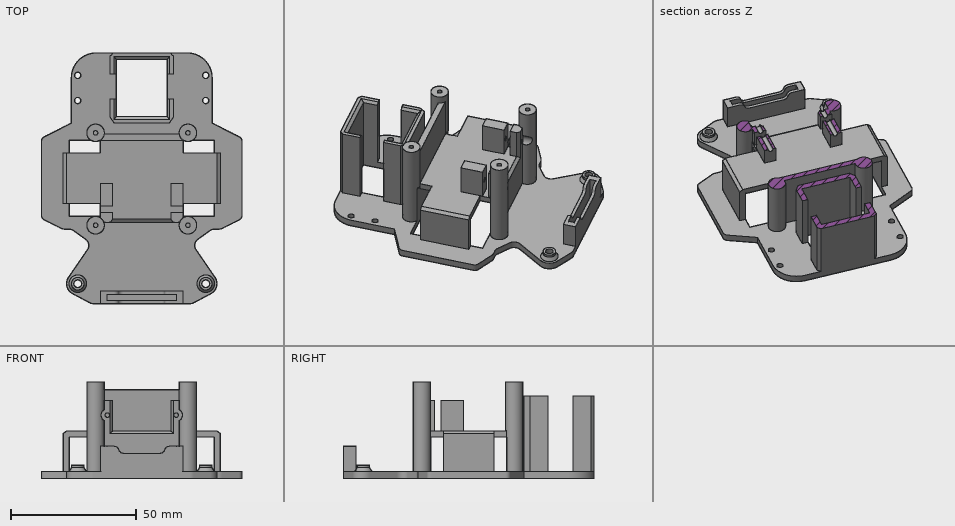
import cadquery as cq
import math

BASE_T = 2.9
HALF_X = 40.0
HALF_Y = 50.0
TAIL_HALF_X = 28.1
TAIL_RADIUS = 10.0
SHOULDER_Y = 22.0
SIDE_CORNER_Y = 16.0
SIDE_RADIUS = 2.0
LEDGE_Y = -20.3
LEDGE_OUTER_X = 31.4
LEDGE_INNER_X = 28.0
WAIST = (20.0, -26.0)
NOSE_HALF_X = 20.0
OUTLINE_RADIUS = 3.0
EAR = (25.5, -42.0)
EAR_RADIUS = 4.5

TAIL_HOLE_D = 2.4
TAIL_HOLE_X = 25.5
TAIL_HOLE_YS = (31.0, 41.0)

BOSS_HOLE_D = 3.0
BOSS_FOOT_D = 7.0
BOSS_TOP_D = 5.0
BOSS_CONE_H = 1.5
BOSS_H = 2.5

POST_D = 7.0
POST_TOP = 38.5
POST_X = 18.4
POST_YS = (18.1, -18.7)
SCREW_D = 1.8
POST_HOLE_DEPTH = 10.0

WALL_T = 2.5
OPENING_HALF_X = 28.8
OPENING_HALF_Y = 15.1
DECK_TOP = 19.0
DECK_HALF_X = OPENING_HALF_X + WALL_T
DECK_HALF_Y = OPENING_HALF_Y + WALL_T
SIDE_ARM_HALF_Y = 10.1
END_ARM_HALF_X = 16.6
BACK_WALL_TOP = 35.5
EDGE_RUN = 1.3
EDGE_DROP = 1.0

BLOCK_TOP = 31.2
BLOCK_INNER_X = 11.6
BLOCK_OUTER_X = 16.4
REAR_BLOCK_Y = (-11.1, -2.0)
FRONT_BLOCK_Y = (-DECK_HALF_Y, -13.6)
SCREW_X = 13.7
SCREW_Z = 25.3
SCREW_HEAD_D = 5.0

HOLDER_HALF_X = 16.4
HOLDER_T = 5.1
HOLDER_TOP = 12.9
SLOT_HALF_X = 13.9
SLOT_W = 2.5
DIP_DEPTH = 2.8
DIP_TOP_HALF_X = 11.0
DIP_FLOOR_HALF_X = 7.3

BRACKET_TOP = 33.0
BRACKET_HALF_X = 12.6
BRACKET_HALF_Y = 14.0
BRACKET_Y = HALF_Y - BRACKET_HALF_Y
WELL_HALF_X = 10.1
WELL_HALF_Y = 11.3
SIDE_GAP_Y = (31.6, 41.5)
FRONT_CORNER = (1.6, 2.4)
BACK_CORNER = (1.3, 1.3)


def block(x0, x1, y0, y1, z0, z1):
    """Box between opposite corners."""
    return cq.Workplane("XY").box(x1 - x0, y1 - y0, z1 - z0, centered=False).translate((x0, y0, z0))


def cylinder(diameter, x, y, z0, z1):
    """Upright cylinder."""
    return cq.Workplane("XY").workplane(offset=z0).center(x, y).circle(diameter / 2).extrude(z1 - z0)


def ear_point(angle):
    """Point on the ear's rim at an angle from +X."""
    return (EAR[0] + EAR_RADIUS * math.cos(angle), EAR[1] + EAR_RADIUS * math.sin(angle))


def ear_tangent_angle(point, side):
    """Rim angle at which a line from an outside point touches the ear."""
    dx, dy = point[0] - EAR[0], point[1] - EAR[1]
    return math.atan2(dy, dx) + side * math.acos(EAR_RADIUS / math.hypot(dx, dy))


def base_plate():
    """Plate outline, drawn for the +X half and mirrored."""
    nose = (NOSE_HALF_X, -HALF_Y)
    upper = ear_tangent_angle(WAIST, -1)
    lower = ear_tangent_angle(nose, 1)
    half = (
        cq.Workplane("XY")
        .moveTo(0, HALF_Y)
        .lineTo(TAIL_HALF_X, HALF_Y)
        .lineTo(TAIL_HALF_X, SHOULDER_Y)
        .lineTo(HALF_X, SIDE_CORNER_Y)
        .lineTo(HALF_X, -SIDE_CORNER_Y)
        .lineTo(LEDGE_OUTER_X, LEDGE_Y)
        .lineTo(LEDGE_INNER_X, LEDGE_Y)
        .lineTo(*WAIST)
        .lineTo(*ear_point(upper))
        .threePointArc(ear_point((upper + lower) / 2), ear_point(lower))
        .lineTo(*nose)
        .lineTo(0, -HALF_Y)
        .close()
        .extrude(BASE_T)
    )
    rounded_corners = (
        (TAIL_HALF_X, HALF_Y, TAIL_RADIUS),
        (HALF_X, SIDE_CORNER_Y, SIDE_RADIUS),
        (HALF_X, -SIDE_CORNER_Y, SIDE_RADIUS),
        (LEDGE_OUTER_X, LEDGE_Y, OUTLINE_RADIUS),
        (LEDGE_INNER_X, LEDGE_Y, OUTLINE_RADIUS),
        (*WAIST, OUTLINE_RADIUS),
        (*nose, OUTLINE_RADIUS),
    )
    for x, y, radius in rounded_corners:
        corner = cq.selectors.NearestToPointSelector((x, y, BASE_T / 2))
        half = half.edges(corner).fillet(radius)
    return half.union(half.mirror("YZ"))


def boss(x):
    """Cone-footed boss around an ear hole."""
    foot, top = BOSS_FOOT_D / 2, BOSS_TOP_D / 2
    profile = [
        (0, 0),
        (foot, 0),
        (foot, BASE_T),
        (top, BASE_T + BOSS_CONE_H),
        (top, BASE_T + BOSS_H),
        (0, BASE_T + BOSS_H),
    ]
    solid = cq.Workplane("XZ").polyline(profile).close().revolve(360, (0, 0), (0, 1))
    return solid.translate((x, EAR[1], 0))


def opening(top):
    """Space between the bridge walls, open through the base."""
    return block(-OPENING_HALF_X, OPENING_HALF_X, -OPENING_HALF_Y, OPENING_HALF_Y, 0, top)


def bridge():
    """Cross-shaped deck with a wall under each arm end and a tall back wall."""
    side_arms = (
        cq.Workplane("XZ")
        .moveTo(-DECK_HALF_X, 0)
        .lineTo(-DECK_HALF_X, DECK_TOP - EDGE_DROP)
        .lineTo(-DECK_HALF_X + EDGE_RUN, DECK_TOP)
        .lineTo(DECK_HALF_X - EDGE_RUN, DECK_TOP)
        .lineTo(DECK_HALF_X, DECK_TOP - EDGE_DROP)
        .lineTo(DECK_HALF_X, 0)
        .close()
        .extrude(SIDE_ARM_HALF_Y, both=True)
    )
    end_arms = block(-END_ARM_HALF_X, END_ARM_HALF_X, -DECK_HALF_Y, DECK_HALF_Y, 0, DECK_TOP)
    back_wall = block(
        -END_ARM_HALF_X, END_ARM_HALF_X, OPENING_HALF_Y, DECK_HALF_Y, 0, BACK_WALL_TOP
    )
    return side_arms.union(end_arms).union(back_wall)


def clamp_blocks():
    """Two rows of blocks, one pair per row."""
    blocks = cq.Workplane("XY")
    for y0, y1 in (REAR_BLOCK_Y, FRONT_BLOCK_Y):
        right = block(BLOCK_INNER_X, BLOCK_OUTER_X, y0, y1, DECK_TOP - WALL_T, BLOCK_TOP)
        blocks = blocks.union(right).union(right.mirror("YZ"))
    return blocks


def clamp_lead_in():
    """Tapered cut along the deck edge and the block edges at the front of the clamp."""
    half_x = BLOCK_INNER_X
    height = BLOCK_TOP - DECK_TOP + EDGE_DROP
    return (
        cq.Workplane("XZ", origin=(0, -DECK_HALF_Y, DECK_TOP))
        .moveTo(-half_x - EDGE_DROP, -EDGE_DROP)
        .lineTo(half_x + EDGE_DROP, -EDGE_DROP)
        .lineTo(half_x + EDGE_DROP, height)
        .lineTo(-half_x - EDGE_DROP, height)
        .close()
        .workplane(offset=-EDGE_RUN)
        .moveTo(-half_x, 0)
        .lineTo(half_x, 0)
        .lineTo(half_x, height)
        .lineTo(-half_x, height)
        .close()
        .loft(ruled=True)
    )


def holder():
    """Card holder with an S-sided dip in its top edge and a slot along it."""
    mid_x = (DIP_TOP_HALF_X + DIP_FLOOR_HALF_X) / 2
    floor_z = HOLDER_TOP - DIP_DEPTH
    mid_z = (HOLDER_TOP + floor_z) / 2
    right_half = (
        cq.Workplane("XZ", origin=(0, -HALF_Y, 0))
        .moveTo(0, 0)
        .lineTo(HOLDER_HALF_X, 0)
        .lineTo(HOLDER_HALF_X, HOLDER_TOP)
        .lineTo(DIP_TOP_HALF_X, HOLDER_TOP)
        .tangentArcPoint((mid_x, mid_z), relative=False)
        .tangentArcPoint((DIP_FLOOR_HALF_X, floor_z), relative=False)
        .lineTo(0, floor_z)
        .close()
        .extrude(-HOLDER_T)
    )
    slot_y = -HALF_Y + HOLDER_T / 2
    slot = block(
        -SLOT_HALF_X, SLOT_HALF_X, slot_y - SLOT_W / 2, slot_y + SLOT_W / 2, BASE_T, HOLDER_TOP
    )
    return right_half.union(right_half.mirror("YZ")).cut(slot)


def bracket():
    """Frame walls with beveled outer corners, split in the middle of both sides."""
    x, y0, y1 = BRACKET_HALF_X, BRACKET_Y - BRACKET_HALF_Y, BRACKET_Y + BRACKET_HALF_Y
    front_run, front_rise = FRONT_CORNER
    back_run, back_rise = BACK_CORNER
    right_side = [
        (x - front_run, y0),
        (x, y0 + front_rise),
        (x, y1 - back_rise),
        (x - back_run, y1),
    ]
    left_side = [(-px, py) for px, py in reversed(right_side)]
    frame = cq.Workplane("XY").polyline(right_side + left_side).close().extrude(BRACKET_TOP)
    side_gap = block(-x, x, *SIDE_GAP_Y, BASE_T, BRACKET_TOP)
    return frame.cut(side_gap)


def bracket_well():
    """Opening through bracket and base, flared at the top of the walls."""
    well = (
        cq.Workplane("XY", origin=(0, BRACKET_Y, 0))
        .rect(2 * WELL_HALF_X, 2 * WELL_HALF_Y)
        .extrude(BRACKET_TOP)
    )
    flare = (
        cq.Workplane("XY", origin=(0, BRACKET_Y, BRACKET_TOP - EDGE_DROP))
        .rect(2 * WELL_HALF_X, 2 * WELL_HALF_Y)
        .workplane(offset=EDGE_DROP)
        .rect(2 * (WELL_HALF_X + EDGE_DROP), 2 * (WELL_HALF_Y + EDGE_RUN))
        .loft(ruled=True)
    )
    return well.union(flare)


body = base_plate().union(bridge()).union(clamp_blocks()).cut(clamp_lead_in())
body = body.union(holder()).union(bracket()).cut(bracket_well())
body = body.cut(opening(DECK_TOP - WALL_T))

for side in (-1, 1):
    body = body.union(boss(side * EAR[0]))
    body = body.cut(cylinder(BOSS_HOLE_D, side * EAR[0], EAR[1], 0, BASE_T + BOSS_H))

    for hole_y in TAIL_HOLE_YS:
        body = body.cut(cylinder(TAIL_HOLE_D, side * TAIL_HOLE_X, hole_y, 0, BASE_T))

    for post_y in POST_YS:
        post = cylinder(POST_D, side * POST_X, post_y, 0, POST_TOP).cut(opening(DECK_TOP))
        body = body.union(post)
        hole_floor = POST_TOP - POST_HOLE_DEPTH
        body = body.cut(cylinder(SCREW_D, side * POST_X, post_y, hole_floor, POST_TOP))

    screw_face = cq.Workplane("XZ", origin=(side * SCREW_X, -DECK_HALF_Y, SCREW_Z))
    body = body.cut(screw_face.circle(SCREW_HEAD_D / 2).extrude(POST_D))
    screw_length = REAR_BLOCK_Y[1] + DECK_HALF_Y
    body = body.cut(screw_face.circle(SCREW_D / 2).extrude(-screw_length))

result = body